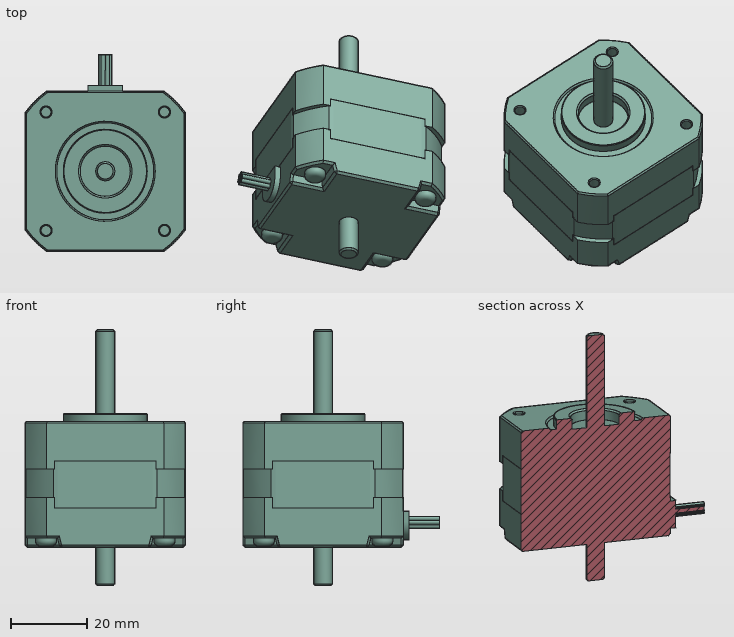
import cadquery as cq
import math


side = 42.0
half_side = side / 2
housing_height = 33.0
corner_radius = 26.0
top_chamfer = 0.4
bottom_chamfer = 0.6

stator_half_side = 20.95
stator_radius = 24.85
stator_bevel_end = 13.6
stator_bottom = 10.3
stator_top = 22.6
stator_flat_half_width = 12.4
corner_band_bottom = 13.0
corner_band_top = 20.5
window_half_width = 13.25

pilot_radius = 11.0
pilot_top = housing_height + 2.0
pilot_chamfer = 0.2
groove_radius = 13.1
groove_floor_radius = 12.7
groove_depth = 0.5
pit_radius = 7.0
pit_chamfer = 0.45
pit_depth = 3.0

shaft_radius = 2.5
shaft_top = 57.0
shaft_bottom = -10.0
shaft_chamfer = 0.45

hole_spacing = 31.0
hole_radius = 1.3
hole_chamfer = 0.28
hole_depth = 4.5

pocket_wall_at_bottom = 11.9
pocket_wall_at_ceiling = 12.5
pocket_ceiling = 2.4
screw_head_radius = 2.75
screw_head_bottom = 0.3
screw_head_rim = 1.65
screw_head_flat_radius = 1.5

outlet_radius = 4.55
outlet_axis_height = 6.5
outlet_top = 9.5
outlet_length = 1.5
wire_radius = 0.6
wire_pitch = 1.15
wire_length = 8.0
outer_wires = 6

tolerance = 0.01
overlap = 1.0


def rounded_square(half_width, radius, bottom, top):
    """A square prism whose corners are cut by a cylinder around the Z axis."""
    width = 2 * half_width
    height = top - bottom
    square = cq.Workplane("XY").workplane(offset=bottom).rect(width, width).extrude(height)
    cylinder = cq.Workplane("XY").workplane(offset=bottom).circle(radius).extrude(height)
    return square.intersect(cylinder)


def around_z(shape):
    """The shape and its three copies, a quarter turn apart around the Z axis."""
    copies = shape
    for quarter in range(1, 4):
        copies = copies.union(shape.rotate((0, 0, 0), (0, 0, 1), 90 * quarter))
    return copies


def quarter_turned(point, quarters):
    """The point turned by a number of quarter turns around the Z axis."""
    x, y = point
    for _ in range(quarters):
        x, y = -y, x
    return x, y


def corner_pocket():
    """A square corner pocket whose two inner walls lean outwards towards its ceiling."""
    outer = half_side + overlap

    def section(wall):
        return (outer + wall) / 2, outer - wall

    centre_low, width_low = section(pocket_wall_at_bottom)
    centre_high, width_high = section(pocket_wall_at_ceiling)
    shift = centre_high - centre_low
    return (
        cq.Workplane("XY")
        .center(centre_low, centre_low)
        .rect(width_low, width_low)
        .workplane(offset=pocket_ceiling)
        .center(shift, shift)
        .rect(width_high, width_high)
        .loft(ruled=True)
    )


def is_on_lower_rim(edge):
    """Whether the edge bounds the bottom face, or a corner pocket where it opens to the outside."""
    if edge.BoundingBox().zmax < tolerance:
        return True
    middle = edge.positionAt(0.5)
    on_flat_side = max(abs(middle.x), abs(middle.y)) > half_side - tolerance
    on_round_corner = math.hypot(middle.x, middle.y) > corner_radius - tolerance
    low_enough = edge.BoundingBox().zmax < pocket_ceiling + tolerance
    return low_enough and (on_flat_side or on_round_corner)


def housing():
    body = rounded_square(half_side, corner_radius, 0, housing_height)
    body = body.faces(">Z").chamfer(top_chamfer)
    body = body.cut(around_z(corner_pocket()))
    rim_edges = [edge for edge in body.edges().vals() if is_on_lower_rim(edge)]
    return body.newObject(rim_edges).chamfer(bottom_chamfer)


def stator():
    """A prism whose flat sides are bevelled on both edges before they meet the round corners."""
    bevel_end_height = math.sqrt(stator_radius**2 - stator_bevel_end**2)
    middle_of_corner = stator_radius / math.sqrt(2)
    outline = cq.Workplane("XY").workplane(offset=stator_bottom)
    outline = outline.moveTo(-stator_bevel_end, -bevel_end_height)
    flat_side = [
        (-stator_flat_half_width, -stator_half_side),
        (stator_flat_half_width, -stator_half_side),
        (stator_bevel_end, -bevel_end_height),
    ]
    corner_middle = (middle_of_corner, -middle_of_corner)
    corner_end = (bevel_end_height, -stator_bevel_end)
    for quarter in range(4):
        for point in flat_side:
            outline = outline.lineTo(*quarter_turned(point, quarter))
        outline = outline.threePointArc(
            quarter_turned(corner_middle, quarter), quarter_turned(corner_end, quarter)
        )
    return outline.close().extrude(stator_top - stator_bottom)


def stator_openings():
    """The band open all round the corners and the taller window in each side."""
    band = (
        cq.Workplane("XY")
        .workplane(offset=corner_band_bottom)
        .rect(2 * side, 2 * side)
        .extrude(corner_band_top - corner_band_bottom)
    )
    window = (
        cq.Workplane("XY")
        .workplane(offset=stator_bottom)
        .center(0, -half_side)
        .rect(2 * window_half_width, half_side)
        .extrude(stator_top - stator_bottom)
    )
    return band.union(around_z(window))


def pilot_groove():
    return (
        cq.Workplane("XY")
        .workplane(offset=housing_height - groove_depth)
        .circle(groove_floor_radius)
        .workplane(offset=groove_depth)
        .circle(groove_radius)
        .loft()
    )


def pilot():
    bottom = housing_height - groove_depth - overlap
    boss = cq.Workplane("XY").workplane(offset=bottom).circle(pilot_radius).extrude(pilot_top - bottom)
    return boss.faces(">Z").edges().chamfer(pilot_chamfer)


def pilot_pit():
    """The round pit in the pilot, with a bevelled mouth."""
    floor_radius = pit_radius - pit_chamfer
    return (
        cq.Workplane("XZ")
        .moveTo(0, pilot_top)
        .lineTo(pit_radius, pilot_top)
        .lineTo(floor_radius, pilot_top - pit_chamfer)
        .lineTo(floor_radius, pilot_top - pit_depth)
        .lineTo(0, pilot_top - pit_depth)
        .close()
        .revolve(360, (0, 0), (0, 1))
    )


def shaft():
    body = cq.Workplane("XY").workplane(offset=shaft_bottom).circle(shaft_radius)
    return body.extrude(shaft_top - shaft_bottom).faces("<Z or >Z").chamfer(shaft_chamfer)


def mounting_holes():
    profile = (
        cq.Workplane("XZ")
        .moveTo(0, housing_height)
        .lineTo(hole_radius + hole_chamfer, housing_height)
        .lineTo(hole_radius, housing_height - hole_chamfer)
        .lineTo(hole_radius, housing_height - hole_depth)
        .lineTo(0, housing_height - hole_depth)
        .close()
    )
    hole = profile.revolve(360, (0, 0), (0, 1))
    return around_z(hole.translate((hole_spacing / 2, hole_spacing / 2, 0)))


def screw_heads():
    profile = (
        cq.Workplane("XZ")
        .moveTo(0, pocket_ceiling + overlap)
        .lineTo(screw_head_radius, pocket_ceiling + overlap)
        .lineTo(screw_head_radius, screw_head_rim)
        .tangentArcPoint((screw_head_flat_radius, screw_head_bottom), relative=False)
        .lineTo(0, screw_head_bottom)
        .close()
    )
    head = profile.revolve(360, (0, 0), (0, 1))
    return around_z(head.translate((hole_spacing / 2, hole_spacing / 2, 0)))


def along_y(sketch_origin_y):
    """A workplane looking along Y, centred on the cable axis, that extrudes towards +Y."""
    return cq.Workplane(cq.Plane((0, sketch_origin_y, outlet_axis_height), (-1, 0, 0), (0, 1, 0)))


def cable_outlet():
    rise = outlet_top - outlet_axis_height
    grommet = (
        along_y(half_side - overlap)
        .moveTo(-outlet_radius, rise)
        .lineTo(-outlet_radius, 0)
        .threePointArc((0, -outlet_radius), (outlet_radius, 0))
        .lineTo(outlet_radius, rise)
        .close()
        .extrude(outlet_length + overlap)
    )
    centres = [(0, 0)]
    for index in range(outer_wires):
        angle = 2 * math.pi * index / outer_wires
        centres.append((wire_pitch * math.cos(angle), wire_pitch * math.sin(angle)))
    wires_start = half_side + outlet_length - overlap
    for centre in centres:
        wire = along_y(wires_start).center(*centre).circle(wire_radius).extrude(wire_length + overlap)
        grommet = grommet.union(wire)
    return grommet


result = housing().cut(stator_openings()).union(stator())
result = result.cut(pilot_groove()).union(pilot()).cut(pilot_pit())
result = result.cut(mounting_holes()).union(screw_heads())
result = result.union(shaft()).union(cable_outlet())